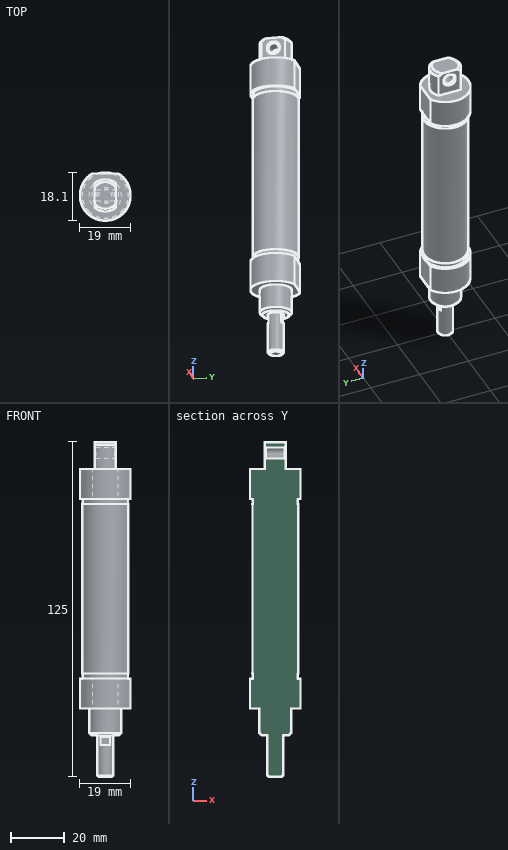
import cadquery as cq

total_length = 125.0
rod_length = 15.5
boss_length = 10.0
cap_length = 11.2
neck_length = 1.9
lug_length = 10.0

rod_diameter = 6.0
boss_diameter = 12.0
cap_diameter = 19.0
neck_diameter = 17.0
tube_diameter = 17.2
lug_diameter = 12.0

rod_chamfer = 0.6
boss_chamfer = 1.0
lug_chamfer = 1.0
cap_flat_distance = 8.2
rod_flat_width = 4.9
rod_flat_length = 3.0
rod_flat_gap = 0.5
lug_thickness = 8.0
pin_hole_diameter = 4.0
pin_hole_chamfer = 0.5
pin_hole_drop = 4.0

boss_bottom = rod_length
front_cap_bottom = boss_bottom + boss_length
front_cap_top = front_cap_bottom + cap_length
tube_bottom = front_cap_top + neck_length
rear_cap_top = total_length - lug_length
rear_cap_bottom = rear_cap_top - cap_length
tube_top = rear_cap_bottom - neck_length


def cylinder(diameter, bottom, top):
    return cq.Workplane("XY").workplane(offset=bottom).circle(diameter / 2).extrude(top - bottom)


def block(size_x, size_y, bottom, top):
    return cq.Workplane("XY").workplane(offset=bottom).rect(size_x, size_y).extrude(top - bottom)


def end_cap(bottom):
    """Round cap with one flat on its +Y side."""
    cap = cylinder(cap_diameter, bottom, bottom + cap_length)
    envelope = block(cap_diameter, cap_diameter, bottom, bottom + cap_length)
    return cap.intersect(envelope.translate((0, cap_flat_distance - cap_diameter / 2, 0)))


def piston_rod():
    """Rod with a chamfered tip and two wrench flats facing -Y and +Y."""
    blank_size = 2 * rod_diameter
    rod = cylinder(rod_diameter, 0, boss_bottom).faces("<Z").chamfer(rod_chamfer)
    flat_top = boss_bottom - rod_flat_gap
    flat_bottom = flat_top - rod_flat_length
    band = block(blank_size, blank_size, flat_bottom, flat_top)
    return rod.cut(band.cut(block(blank_size, rod_flat_width, flat_bottom, flat_top)))


def pivot_lug():
    """Chamfered round lug, flattened on both X sides, with a countersunk cross hole."""
    lug = cylinder(lug_diameter, rear_cap_top, total_length).faces(">Z").chamfer(lug_chamfer)
    lug = lug.intersect(block(lug_thickness, lug_diameter, rear_cap_top, total_length))
    hole = (
        cq.Workplane("YZ")
        .center(0, total_length - pin_hole_drop)
        .circle(pin_hole_diameter / 2)
        .extrude(lug_thickness, both=True)
    )
    return lug.cut(hole).edges("%CIRCLE and (<X or >X)").chamfer(pin_hole_chamfer)


boss = cylinder(boss_diameter, boss_bottom, front_cap_bottom).faces("<Z").chamfer(boss_chamfer)
neck_core = cylinder(neck_diameter, front_cap_top, rear_cap_bottom)
tube = cylinder(tube_diameter, tube_bottom, tube_top)

result = (
    piston_rod()
    .union(boss)
    .union(end_cap(front_cap_bottom))
    .union(neck_core)
    .union(tube)
    .union(end_cap(rear_cap_bottom))
    .union(pivot_lug())
)